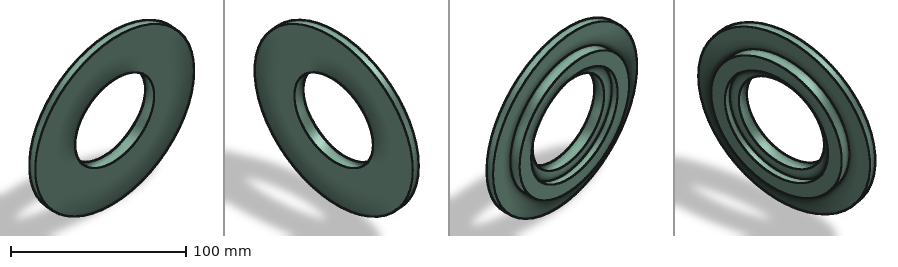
import cadquery as cq

flange_diameter = 125.0
flange_thickness = 5.0
hub_diameter = 95.0
hub_length = 7.0
recess_diameter = 75.0
recess_depth = 4.5
bore_diameter = 62.0

total_length = hub_length + flange_thickness


def disc(diameter, start, length):
    """Solid cylinder along +X beginning at x = start."""
    return cq.Workplane("YZ", origin=(start, 0, 0)).circle(diameter / 2).extrude(length)


body = disc(hub_diameter, 0, total_length)
body = body.union(disc(flange_diameter, hub_length, flange_thickness))

body = body.cut(disc(recess_diameter, 0, recess_depth))
result = body.cut(disc(bore_diameter, 0, total_length))